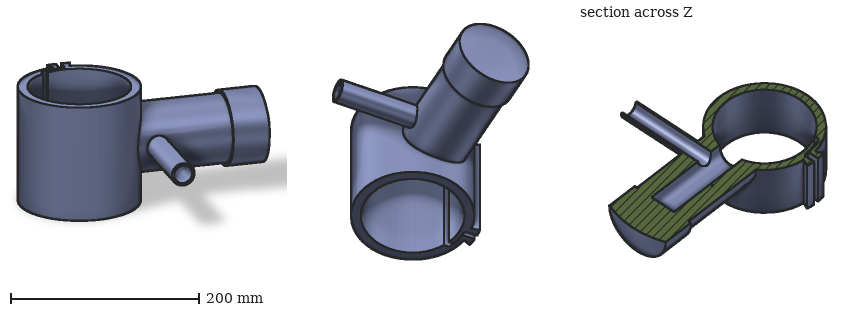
import cadquery as cq
import math

RING_OUTER_RADIUS = 65.5
RING_INNER_RADIUS = 55.0
RING_HEIGHT = 128.0

LUG_TIP_RADIUS = 74.5
LUG_ROOT_Y = 9.2
LUG_TIP_Y = 12.8
GAP_HALF_WIDTH = 3.0
GAP_CORNER_RADIUS = 3.0

TONGUE_OUTER_RADIUS = 59.8
RECESS_RADIUS = 60.3
TONGUE_END_Y = -18.5
RECESS_END_Y = -25.0
RECESS_CORNER_RADIUS = 1.2

BRANCH_RADIUS = 37.5
CAP_RADIUS = 40.75
CAP_START_Y = 159.0
CAP_EDGE_Y = 199.0
CAP_APEX_Y = 206.64
BRANCH_BORE_RADIUS = 16.0

SPIGOT_RADIUS = 12.5
SPIGOT_BORE_RADIUS = 10.0
SPIGOT_Y = 76.5
SPIGOT_END_X = 125.0


def cylinder_along_y(radius, start_y, end_y):
    profile = cq.Workplane("XZ", origin=(0, start_y, 0)).circle(radius)
    return profile.extrude(start_y - end_y)


def base_plane():
    return cq.Workplane("XY", origin=(0, 0, -RING_HEIGHT / 2))


def prism(outline):
    """Extrude a closed XY outline over the full ring height."""
    return outline.close().extrude(RING_HEIGHT)


def ring_cylinder(radius):
    return base_plane().circle(radius).extrude(RING_HEIGHT)


def box_between(x_min, x_max, y_min, y_max):
    corners = [(x_min, y_min), (x_max, y_min), (x_max, y_max), (x_min, y_max)]
    return prism(base_plane().polyline(corners))


def lugs():
    """Two flared lugs as one block; the gap is cut through it later."""
    root_x = -(RING_INNER_RADIUS + RING_OUTER_RADIUS) / 2
    wall_x = -math.sqrt(RING_OUTER_RADIUS**2 - LUG_ROOT_Y**2)
    tip_x = -math.sqrt(LUG_TIP_RADIUS**2 - LUG_TIP_Y**2)
    outline = (
        base_plane()
        .moveTo(root_x, LUG_ROOT_Y)
        .lineTo(wall_x, LUG_ROOT_Y)
        .lineTo(tip_x, LUG_TIP_Y)
        .threePointArc((-LUG_TIP_RADIUS, 0), (tip_x, -LUG_TIP_Y))
        .lineTo(wall_x, -LUG_ROOT_Y)
        .lineTo(root_x, -LUG_ROOT_Y)
    )
    return prism(outline)


def branch_pipe():
    pipe = cylinder_along_y(BRANCH_RADIUS, 0, CAP_START_Y)
    half_cap = (
        cq.Workplane("XY")
        .moveTo(0, CAP_START_Y)
        .lineTo(CAP_RADIUS, CAP_START_Y)
        .lineTo(CAP_RADIUS, CAP_EDGE_Y)
    )
    dome_rise = CAP_APEX_Y - CAP_EDGE_Y
    dome_radius = (CAP_RADIUS**2 + dome_rise**2) / (2 * dome_rise)
    mid_x = CAP_RADIUS / 2
    mid_y = CAP_APEX_Y - dome_radius + math.sqrt(dome_radius**2 - mid_x**2)
    cap = (
        half_cap.threePointArc((mid_x, mid_y), (0, CAP_APEX_Y))
        .close()
        .revolve(360, (0, 0, 0), (0, 1, 0))
    )
    return pipe.union(cap)


def cylinder_along_spigot(radius):
    return cq.Workplane("YZ").center(SPIGOT_Y, 0).circle(radius).extrude(SPIGOT_END_X)


def lug_gap():
    """Slot between the lugs, rounded where its upper face meets the tongue."""
    slot = box_between(-2 * LUG_TIP_RADIUS, -TONGUE_OUTER_RADIUS, -GAP_HALF_WIDTH, GAP_HALF_WIDTH)
    return slot.edges("|Z and >X and >Y").fillet(GAP_CORNER_RADIUS)


def lap_clearance():
    """Thin curved gap between the tongue and the outer wall."""
    sleeve = ring_cylinder(RECESS_RADIUS).cut(ring_cylinder(TONGUE_OUTER_RADIUS))
    return sleeve.intersect(box_between(-RING_OUTER_RADIUS, 0, TONGUE_END_Y, 0))


def tongue_clearance():
    """Inner part of the wall, removed past the end of the tongue."""
    notch = box_between(-RING_OUTER_RADIUS, 0, RECESS_END_Y, TONGUE_END_Y)
    notch = notch.intersect(ring_cylinder(RECESS_RADIUS))
    return notch.edges("|Z").edges("<Y").edges("<X").fillet(RECESS_CORNER_RADIUS)


result = (
    ring_cylinder(RING_OUTER_RADIUS)
    .union(lugs())
    .union(branch_pipe())
    .union(cylinder_along_spigot(SPIGOT_RADIUS))
    .cut(ring_cylinder(RING_INNER_RADIUS))
    .cut(cylinder_along_y(BRANCH_BORE_RADIUS, 0, CAP_START_Y))
    .cut(cylinder_along_spigot(SPIGOT_BORE_RADIUS))
    .cut(lug_gap())
    .cut(lap_clearance())
    .cut(tongue_clearance())
)